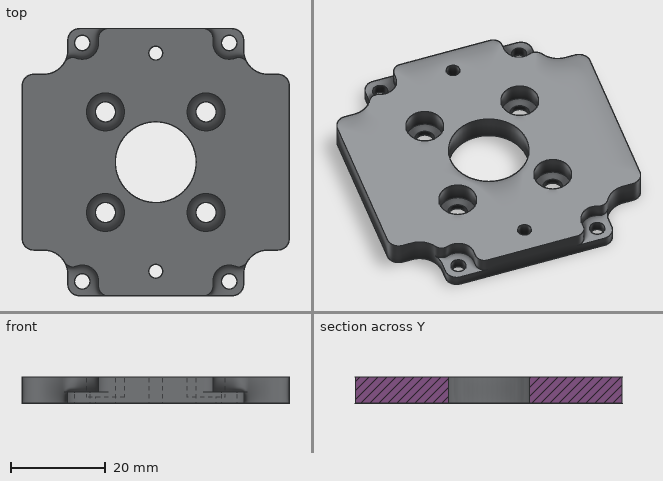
import cadquery as cq
import math

plate_length = 56.4
arm_width = 37.15
thickness = 5.6
outer_corner_radius = 2.5
inner_corner_radius = 5.0

ear_thickness = 2.4
ear_hole_x = 15.5
ear_hole_y = 25.15
ear_hole_diameter = 3.2
ear_recess_radius = 3.45
ear_blend_radius = 2.0

screw_circle_diameter = 30.0
screw_hole_diameter = 4.2
counterbore_diameter = 8.0
counterbore_depth = 4.25

bore_diameter = 17.0
axis_hole_diameter = 2.87
axis_hole_y = 23.0

half_length = plate_length / 2
half_width = arm_width / 2
screw_offset = screw_circle_diameter / 2 * math.cos(math.radians(45))


def four_corners(x, y):
    return [(x, y), (-x, y), (-x, -y), (x, -y)]


def point_towards(start, end, distance):
    """Point at the given distance from start, on the line to end."""
    ratio = distance / math.dist(start, end)
    return (start[0] + ratio * (end[0] - start[0]), start[1] + ratio * (end[1] - start[1]))


def arc_middle(center, start, end, radius):
    """Middle of the shorter arc from start to end around center."""
    chord_middle = ((start[0] + end[0]) / 2, (start[1] + end[1]) / 2)
    return point_towards(center, chord_middle, radius)


def blend_center(center_a, distance_a, center_b, distance_b):
    """Point at set distances from two centers, to the right of the line from a to b."""
    spacing = math.dist(center_a, center_b)
    along = (distance_a**2 - distance_b**2 + spacing**2) / (2 * spacing)
    across = math.sqrt(distance_a**2 - along**2)
    unit_x = (center_b[0] - center_a[0]) / spacing
    unit_y = (center_b[1] - center_a[1]) / spacing
    return (center_a[0] + along * unit_x + across * unit_y, center_a[1] + along * unit_y - across * unit_x)


def make_plate():
    x_arm = cq.Workplane("XY").rect(plate_length, arm_width).extrude(thickness)
    y_arm = cq.Workplane("XY").rect(arm_width, plate_length).extrude(thickness)
    plate = x_arm.union(y_arm)

    inner_reach = half_width + inner_corner_radius / 2
    inner_edges = cq.selectors.BoxSelector(
        (-inner_reach, -inner_reach, 0), (inner_reach, inner_reach, thickness)
    )
    plate = plate.edges("|Z").edges(inner_edges).fillet(inner_corner_radius)

    for end_faces in (">X", "<X", ">Y", "<Y"):
        plate = plate.faces(end_faces).edges("|Z").fillet(outer_corner_radius)
    return plate


def make_ear_recess():
    """Cutter for the ear at -X, +Y: an arc around the hole, blended into both neighboring sides."""
    hole = (-ear_hole_x, ear_hole_y)
    notch = (-half_width - inner_corner_radius, half_width + inner_corner_radius)

    wall_x = -ear_hole_x + ear_recess_radius
    end_blend_center = (wall_x + ear_blend_radius, half_length - ear_blend_radius)
    end_blend_start = (end_blend_center[0], half_length)
    end_blend_stop = (wall_x, end_blend_center[1])

    side_blend_center = blend_center(
        notch,
        inner_corner_radius + ear_blend_radius,
        hole,
        ear_recess_radius + ear_blend_radius,
    )
    side_blend_start = point_towards(hole, side_blend_center, ear_recess_radius)
    side_blend_stop = point_towards(notch, side_blend_center, inner_corner_radius)

    wall_end = (wall_x, ear_hole_y)
    return (
        cq.Workplane("XY", origin=(0, 0, ear_thickness))
        .moveTo(*end_blend_start)
        .threePointArc(
            arc_middle(end_blend_center, end_blend_start, end_blend_stop, ear_blend_radius), end_blend_stop
        )
        .lineTo(*wall_end)
        .threePointArc(arc_middle(hole, wall_end, side_blend_start, ear_recess_radius), side_blend_start)
        .threePointArc(
            arc_middle(side_blend_center, side_blend_start, side_blend_stop, ear_blend_radius), side_blend_stop
        )
        .lineTo(*notch)
        .lineTo(notch[0], half_length)
        .close()
        .extrude(thickness - ear_thickness)
    )


def cut_ear_recesses(plate):
    recess = make_ear_recess()
    recess_pair = recess.union(recess.mirror("YZ"))
    return plate.cut(recess_pair).cut(recess_pair.mirror("XZ"))


def cut_holes(plate, points, diameter, depth=thickness):
    """Round holes of the given depth, cut from the top face."""
    bottom = cq.Workplane("XY", origin=(0, 0, thickness - depth))
    return plate.cut(bottom.pushPoints(points).circle(diameter / 2).extrude(depth))


screw_points = four_corners(screw_offset, screw_offset)
ear_points = four_corners(ear_hole_x, ear_hole_y)
axis_points = [(0, axis_hole_y), (0, -axis_hole_y)]

result = make_plate()
result = cut_ear_recesses(result)
result = cut_holes(result, ear_points, ear_hole_diameter)
result = cut_holes(result, screw_points, screw_hole_diameter)
result = cut_holes(result, screw_points, counterbore_diameter, counterbore_depth)
result = cut_holes(result, axis_points, axis_hole_diameter)
result = cut_holes(result, [(0, 0)], bore_diameter)